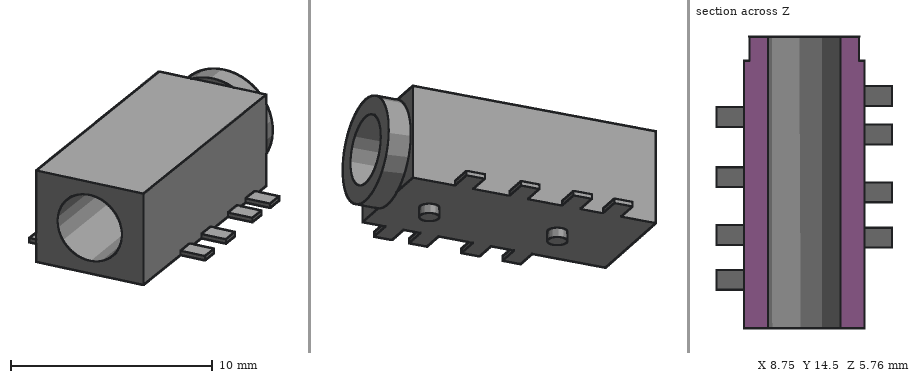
import cadquery as cq

overall_length = 14.5
collar_length = 1.2
body_length = overall_length - collar_length
body_width = 6.0
body_height = 5.0

collar_diameter = 5.5
bore_diameter = 3.6
axis_height = body_height / 2

lead_span = 8.75
lead_width = 1.0
lead_thickness = 0.25
lead_length = (lead_span - body_width) / 2
left_lead_centres = [2.4, 4.64, 7.51, 10.5]
right_lead_centres = [4.51, 6.75, 9.63, 11.54]

peg_diameter = 1.0
peg_length = 0.51
peg_centres = [4.02, 11.02]


def cylinder_along_y(diameter, start, length):
    """Cylinder on the plug axis, from Y = start towards +Y."""
    return cq.Workplane(
        cq.Solid.makeCylinder(
            diameter / 2, length, cq.Vector(0, start, axis_height), cq.Vector(0, 1, 0)
        )
    )


def lead(side, centre):
    """Lead on the -X (side = -1) or +X (side = 1) wall."""
    middle = side * (body_width + lead_length) / 2
    return (
        cq.Workplane("XY")
        .center(middle, centre)
        .rect(lead_length, lead_width)
        .extrude(lead_thickness)
    )


housing = cq.Workplane("XY").center(0, body_length / 2).rect(body_width, body_length).extrude(body_height)
collar = cylinder_along_y(collar_diameter, body_length, collar_length)
bore = cylinder_along_y(bore_diameter, 0, overall_length)
pegs = (
    cq.Workplane("XY")
    .pushPoints([(0, centre) for centre in peg_centres])
    .circle(peg_diameter / 2)
    .extrude(-peg_length)
)

result = housing.union(collar).cut(bore).union(pegs)
for side, centres in ((-1, left_lead_centres), (1, right_lead_centres)):
    for centre in centres:
        result = result.union(lead(side, centre))